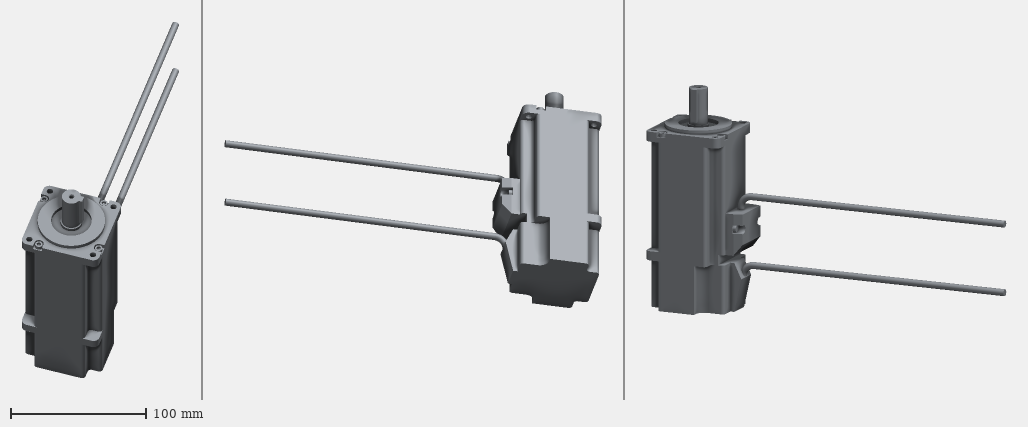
import cadquery as cq
import math

FRAME_WIDTH = 60.1
HALF_WIDTH = FRAME_WIDTH / 2
SHAFT_TOP = 166.0
MOUNTING_FACE = 136.0
FLANGE_THICKNESS = 7.5
FLANGE_BOTTOM = MOUNTING_FACE - FLANGE_THICKNESS
FLANGE_CORNER_RADIUS = 4.7
EMBED = 1.0

RELIEF_INSET = 19.9
RELIEF_FILLET = 2.6
RIB_FILLET = 2.6

PLATE_BOTTOM = 38.0
PLATE_TOP = 45.0
PLATE_BACK = 25.2

HOUSING_BACK_TOP = 37.2
SHOULDER_Y = 10.0
SHOULDER_RADIUS = 7.0

PILOT_RADIUS = 25.0
PILOT_HEIGHT = 3.0
PILOT_TOP = MOUNTING_FACE + PILOT_HEIGHT
RECESS_RADIUS = 15.0
RECESS_DEPTH = 3.0
COLLAR_RADIUS = 8.0
COLLAR_HEIGHT = 2.5
SHAFT_RADIUS = 7.0
SHAFT_HOLE_RADIUS = 1.65
SHAFT_COUNTERSINK = 0.55
SHAFT_HOLE_DEPTH = 12.0
KEY_WIDTH = 5.0
KEY_REACH = 9.1
KEY_BOTTOM = 141.0

MOUNT_HOLE_OFFSET = 24.75
MOUNT_HOLE_RADIUS = 2.35
SCREW_ALONG = 16.7
SCREW_OUT = 26.6
SCREW_POCKET_RADIUS = 3.5
SCREW_POCKET_DEPTH = 3.6
SCREW_HEAD_RADIUS = 2.8
SCREW_HEAD_HEIGHT = 3.0
HEX_SOCKET_DIAMETER = 3.5
HEX_SOCKET_DEPTH = 2.0

CONNECTOR_HALF_WIDTH = 17.5
CONNECTOR_TIP_HALF_WIDTH = 15.9
CONNECTOR_TOP = 76.7
CONNECTOR_BEND_Y = 36.4
CONNECTOR_BACK = 43.2
CONNECTOR_CHAMFER_TOP = 53.4
CLAMP_X = 14.0
CLAMP_Z = 65.0
CLAMP_SLOT_RADIUS = 3.2
CLAMP_SLOT_FLOOR = 35.4
CLAMP_HEAD_RADIUS = 2.75
CLAMP_HEAD_TOP = 38.0

OUTLET_HALF_WIDTH = 8.7
OUTLET_FOOT_Y = 33.2
OUTLET_TIP_Y = 38.9
OUTLET_TIP_Z = 25.4

CABLE_RADIUS = 2.6
CABLE_X = 0.4
CABLE_END_Y = 279.9 - HALF_WIDTH
CABLE_BEND_RADIUS = 8.7
UPPER_CABLE_Y = 34.9
UPPER_CABLE_Z = 87.1
LOWER_CABLE_Y = 36.7
LOWER_CABLE_Z = 34.8


def prism(bottom, top):
    """Return a sketch plane at the bottom height and the extrusion length up to the top."""
    return cq.Workplane("XY").workplane(offset=bottom), top - bottom


def box(x_range, y_range, z_range):
    plane, height = prism(*z_range)
    return (
        plane.moveTo(x_range[0], y_range[0])
        .lineTo(x_range[1], y_range[0])
        .lineTo(x_range[1], y_range[1])
        .lineTo(x_range[0], y_range[1])
        .close()
        .extrude(height)
    )


def cylinder(x, y, radius, bottom, top):
    plane, height = prism(bottom, top)
    return plane.center(x, y).circle(radius).extrude(height)


def rounded_square(bottom, top):
    plane, height = prism(bottom, top)
    return plane.rect(FRAME_WIDTH, FRAME_WIDTH).extrude(height).edges("|Z").fillet(FLANGE_CORNER_RADIUS)


def relieved_body(bottom, top):
    """Square column with a filleted step cut out of each corner."""
    plane, height = prism(bottom, top)
    bar_width = 2 * RELIEF_INSET
    body = plane.rect(FRAME_WIDTH, bar_width).extrude(height)
    body = body.union(plane.rect(bar_width, FRAME_WIDTH).extrude(height))
    corner_distance = RELIEF_INSET + EMBED
    inner_corners = cq.selectors.BoxSelector(
        (-corner_distance, -corner_distance, bottom - EMBED),
        (corner_distance, corner_distance, top + EMBED),
    )
    body = body.edges("|Z").edges(inner_corners).fillet(RELIEF_FILLET)
    return body.edges("|Z and (<X or >X or <Y or >Y)").fillet(RIB_FILLET)


def middle_plate():
    """Plate with rounded front corners, relieved back corners and a cut-back rear face."""
    wide_front = rounded_square(PLATE_BOTTOM, PLATE_TOP).intersect(
        box((-HALF_WIDTH, HALF_WIDTH), (-HALF_WIDTH, 0), (PLATE_BOTTOM, PLATE_TOP))
    )
    relieved_back = relieved_body(HOUSING_BACK_TOP, PLATE_TOP).intersect(
        box((-HALF_WIDTH, HALF_WIDTH), (-EMBED, PLATE_BACK), (HOUSING_BACK_TOP, PLATE_TOP))
    )
    return wide_front.union(relieved_back)


def encoder_housing():
    """Relieved front half joined to a narrow back half through concave shoulders."""
    full_front = relieved_body(0, PLATE_BOTTOM).intersect(
        box((-HALF_WIDTH, HALF_WIDTH), (-HALF_WIDTH, SHOULDER_Y), (0, PLATE_BOTTOM))
    )
    plane, height = prism(0, HOUSING_BACK_TOP)
    shoulder_x = RELIEF_INSET + SHOULDER_RADIUS
    shoulder_y = SHOULDER_Y + SHOULDER_RADIUS
    back = (
        plane.moveTo(-shoulder_x, SHOULDER_Y - EMBED)
        .lineTo(shoulder_x, SHOULDER_Y - EMBED)
        .lineTo(shoulder_x, SHOULDER_Y)
        .radiusArc((RELIEF_INSET, shoulder_y), SHOULDER_RADIUS)
        .lineTo(RELIEF_INSET, HALF_WIDTH)
        .lineTo(-RELIEF_INSET, HALF_WIDTH)
        .lineTo(-RELIEF_INSET, shoulder_y)
        .radiusArc((-shoulder_x, SHOULDER_Y), SHOULDER_RADIUS)
        .close()
        .extrude(height)
        .edges("|Z and >Y")
        .fillet(RIB_FILLET)
    )
    return full_front.union(back)


def mounting_flange():
    flange = rounded_square(FLANGE_BOTTOM, MOUNTING_FACE)
    for x in (-MOUNT_HOLE_OFFSET, MOUNT_HOLE_OFFSET):
        for y in (-MOUNT_HOLE_OFFSET, MOUNT_HOLE_OFFSET):
            flange = flange.cut(cylinder(x, y, MOUNT_HOLE_RADIUS, FLANGE_BOTTOM, MOUNTING_FACE))
    pocket_floor = MOUNTING_FACE - SCREW_POCKET_DEPTH
    pocket = cylinder(SCREW_ALONG, SCREW_OUT, SCREW_POCKET_RADIUS, pocket_floor, MOUNTING_FACE)
    pocket = pocket.union(
        box(
            (SCREW_ALONG - SCREW_POCKET_RADIUS, SCREW_ALONG + SCREW_POCKET_RADIUS),
            (SCREW_OUT, HALF_WIDTH + EMBED),
            (pocket_floor, MOUNTING_FACE),
        )
    )
    head_top = pocket_floor + SCREW_HEAD_HEIGHT
    socket_plane, socket_height = prism(head_top - HEX_SOCKET_DEPTH, head_top)
    socket_plane = socket_plane.center(SCREW_ALONG, SCREW_OUT)
    socket = socket_plane.polygon(6, HEX_SOCKET_DIAMETER).extrude(socket_height)
    head = cylinder(SCREW_ALONG, SCREW_OUT, SCREW_HEAD_RADIUS, pocket_floor - EMBED, head_top).cut(socket)
    for quarter in range(4):
        angle = 90 * quarter
        flange = flange.cut(pocket.rotate((0, 0, 0), (0, 0, 1), angle))
        flange = flange.union(head.rotate((0, 0, 0), (0, 0, 1), angle))
    return flange


def pilot_boss():
    return cylinder(0, 0, PILOT_RADIUS, MOUNTING_FACE - EMBED, PILOT_TOP)


def shaft():
    recess_floor = PILOT_TOP - RECESS_DEPTH
    spindle = cylinder(0, 0, SHAFT_RADIUS, recess_floor - EMBED, SHAFT_TOP)
    collar = cylinder(0, 0, COLLAR_RADIUS, recess_floor - EMBED, recess_floor + COLLAR_HEIGHT)
    key = box((0, KEY_REACH), (-KEY_WIDTH / 2, KEY_WIDTH / 2), (KEY_BOTTOM, SHAFT_TOP))
    centre_hole = cylinder(0, 0, SHAFT_HOLE_RADIUS, SHAFT_TOP - SHAFT_HOLE_DEPTH, SHAFT_TOP)
    countersink_plane = cq.Workplane("XY").workplane(offset=SHAFT_TOP)
    countersink = (
        countersink_plane.circle(SHAFT_HOLE_RADIUS + SHAFT_COUNTERSINK)
        .workplane(offset=-SHAFT_COUNTERSINK)
        .circle(SHAFT_HOLE_RADIUS)
        .loft()
    )
    return spindle.union(collar).union(key).cut(centre_hole).cut(countersink)


def upper_connector():
    """Tapered block with a chamfered underside and a clamp screw slot open to each side."""
    inner_y = HALF_WIDTH - EMBED
    plane, height = prism(PLATE_TOP, CONNECTOR_TOP)
    block = (
        plane.moveTo(-CONNECTOR_HALF_WIDTH, inner_y)
        .lineTo(-CONNECTOR_HALF_WIDTH, CONNECTOR_BEND_Y)
        .lineTo(-CONNECTOR_TIP_HALF_WIDTH, CONNECTOR_BACK)
        .lineTo(CONNECTOR_TIP_HALF_WIDTH, CONNECTOR_BACK)
        .lineTo(CONNECTOR_HALF_WIDTH, CONNECTOR_BEND_Y)
        .lineTo(CONNECTOR_HALF_WIDTH, inner_y)
        .close()
        .extrude(height)
    )
    underside = (
        cq.Workplane("YZ")
        .moveTo(CONNECTOR_BEND_Y, PLATE_TOP)
        .lineTo(CONNECTOR_BACK, CONNECTOR_CHAMFER_TOP)
        .lineTo(CONNECTOR_BACK, PLATE_TOP)
        .close()
        .extrude(CONNECTOR_HALF_WIDTH, both=True)
    )
    block = block.cut(underside)
    for x in (-CLAMP_X, CLAMP_X):
        slot_floor = cq.Workplane("XZ", origin=(x, CLAMP_SLOT_FLOOR, CLAMP_Z))
        slot = slot_floor.circle(CLAMP_SLOT_RADIUS).extrude(CLAMP_SLOT_FLOOR - CONNECTOR_BACK)
        slot = slot.union(
            box(
                (x, math.copysign(CONNECTOR_HALF_WIDTH, x)),
                (CLAMP_SLOT_FLOOR, CONNECTOR_BACK),
                (CLAMP_Z - CLAMP_SLOT_RADIUS, CLAMP_Z + CLAMP_SLOT_RADIUS),
            )
        )
        head = slot_floor.circle(CLAMP_HEAD_RADIUS).extrude(CLAMP_SLOT_FLOOR - CLAMP_HEAD_TOP)
        block = block.cut(slot).union(head)
    return block


def lower_outlet():
    """Wedge-shaped cable outlet."""
    inner_y = HALF_WIDTH - EMBED
    return (
        cq.Workplane("YZ")
        .moveTo(inner_y, 0)
        .lineTo(OUTLET_FOOT_Y, 0)
        .lineTo(OUTLET_TIP_Y, OUTLET_TIP_Z)
        .lineTo(OUTLET_FOOT_Y, HOUSING_BACK_TOP)
        .lineTo(inner_y, HOUSING_BACK_TOP)
        .close()
        .extrude(OUTLET_HALF_WIDTH, both=True)
    )


def cable(entry_y, run_z, entry_z):
    """Cable that rises from its entry point, bends a quarter turn and runs straight back."""
    bend_start_z = run_z - CABLE_BEND_RADIUS
    bend_end_y = entry_y + CABLE_BEND_RADIUS
    bend_mid_offset = CABLE_BEND_RADIUS * math.sqrt(0.5)
    bend_mid = (bend_end_y - bend_mid_offset, bend_start_z + bend_mid_offset)
    path = cq.Workplane("YZ", origin=(CABLE_X, 0, 0)).moveTo(entry_y, entry_z)
    if entry_z < bend_start_z:
        path = path.lineTo(entry_y, bend_start_z)
    path = path.threePointArc(bend_mid, (bend_end_y, run_z)).lineTo(CABLE_END_Y, run_z)
    return cq.Workplane("XY", origin=(CABLE_X, entry_y, entry_z)).circle(CABLE_RADIUS).sweep(path)


motor = relieved_body(PLATE_TOP, FLANGE_BOTTOM)
for section in (middle_plate(), encoder_housing(), mounting_flange(), pilot_boss()):
    motor = motor.union(section)
motor = motor.cut(cylinder(0, 0, RECESS_RADIUS, PILOT_TOP - RECESS_DEPTH, PILOT_TOP))
for section in (shaft(), upper_connector(), lower_outlet()):
    motor = motor.union(section)
motor = motor.union(cable(UPPER_CABLE_Y, UPPER_CABLE_Z, CONNECTOR_TOP - EMBED))
motor = motor.union(cable(LOWER_CABLE_Y, LOWER_CABLE_Z, LOWER_CABLE_Z - CABLE_BEND_RADIUS))

result = motor